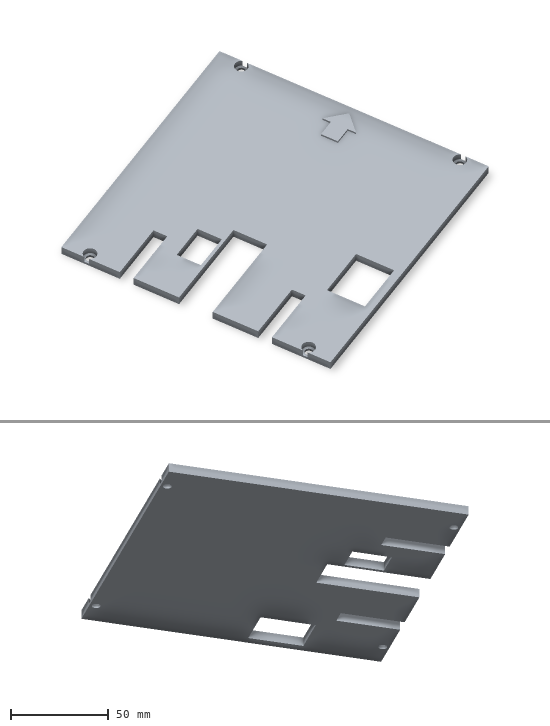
import cadquery as cq

plate_side = 160.0
plate_thickness = 5.0
overall_height = 6.0
front_edge_y = -plate_side / 2
back_edge_y = plate_side / 2

center_slot_width = 20.0
center_slot_length = 55.0
side_slot_width = 8.2
side_slot_length = 34.0
side_slot_offset_x = 41.1

small_window_size = (14.4, 21.1)
small_window_center = (-19.0, -44.2)
large_window_size = (22.5, 29.5)
large_window_center = (64.0, -22.4)

hole_diameter = 4.5
counterbore_diameter = 7.5
counterbore_floor_z = 1.5
hole_side_margin = 15.0
hole_edge_margin = 3.5

arrow_tip_margin = 5.0
arrow_head_width = 20.0
arrow_head_length = arrow_head_width / 2
arrow_shaft_width = arrow_head_width / 2
arrow_shaft_length = arrow_head_length


def rectangular_cutter(size, center):
    """Block through the full plate thickness."""
    return cq.Workplane("XY").center(*center).rect(*size).extrude(plate_thickness)


def front_slot_cutter(width, length, center_x):
    """Block reaching back from the front edge."""
    return rectangular_cutter((width, length), (center_x, front_edge_y + length / 2))


def screw_hole_cutters():
    """Through holes and counterbores near the four corners."""
    pattern_width = plate_side - 2 * hole_side_margin
    pattern_depth = plate_side - 2 * hole_edge_margin
    holes = (
        cq.Workplane("XY")
        .rect(pattern_width, pattern_depth, forConstruction=True)
        .vertices()
        .circle(hole_diameter / 2)
        .extrude(plate_thickness)
    )
    counterbores = (
        cq.Workplane("XY", origin=(0, 0, counterbore_floor_z))
        .rect(pattern_width, pattern_depth, forConstruction=True)
        .vertices()
        .circle(counterbore_diameter / 2)
        .extrude(plate_thickness - counterbore_floor_z)
    )
    return holes.union(counterbores)


def raised_arrow():
    """Arrow standing on the top face of the plate."""
    tip_y = back_edge_y - arrow_tip_margin
    head_base_y = tip_y - arrow_head_length
    tail_y = head_base_y - arrow_shaft_length
    half_head = arrow_head_width / 2
    half_shaft = arrow_shaft_width / 2
    outline = [
        (0, tip_y),
        (half_head, head_base_y),
        (half_shaft, head_base_y),
        (half_shaft, tail_y),
        (-half_shaft, tail_y),
        (-half_shaft, head_base_y),
        (-half_head, head_base_y),
    ]
    return (
        cq.Workplane("XY", origin=(0, 0, plate_thickness))
        .polyline(outline)
        .close()
        .extrude(overall_height - plate_thickness)
    )


plate = cq.Workplane("XY").rect(plate_side, plate_side).extrude(plate_thickness)

plate = plate.cut(front_slot_cutter(center_slot_width, center_slot_length, 0))
for slot_x in (-side_slot_offset_x, side_slot_offset_x):
    plate = plate.cut(front_slot_cutter(side_slot_width, side_slot_length, slot_x))

plate = plate.cut(rectangular_cutter(small_window_size, small_window_center))
plate = plate.cut(rectangular_cutter(large_window_size, large_window_center))
plate = plate.cut(screw_hole_cutters())

result = plate.union(raised_arrow())